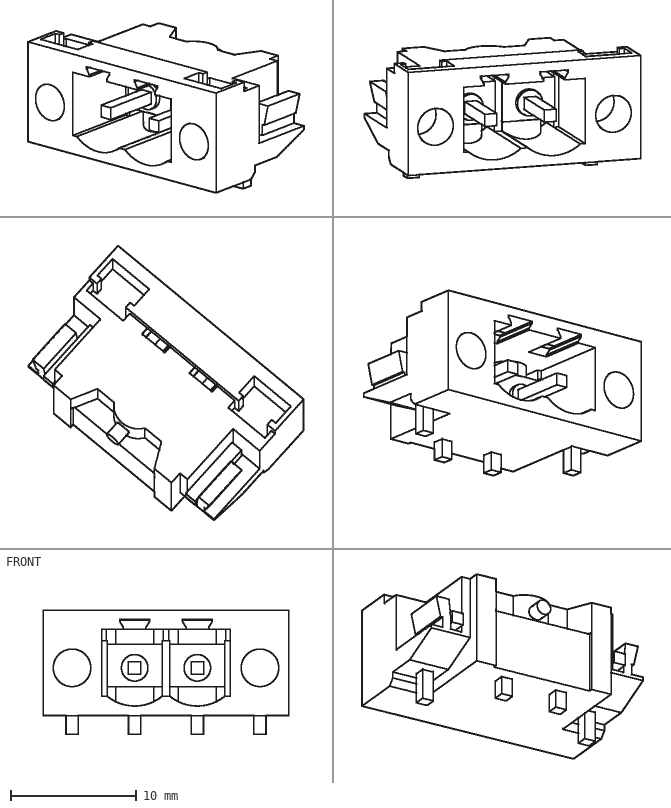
import cadquery as cq


WIDTH = 19.6
DEPTH = 12.0
FLANGE_HEIGHT = 8.43
BODY_HEIGHT = 7.65
FLANGE_DEPTH = 3.5
PITCH = 5.0
LEG_LENGTH = 1.5
PIN_AXIS_Z = 3.82

BODY_HALF_WIDTH = 7.0
REAR_HALF_WIDTH = 6.22
SHOULDER_Y = 10.95
WING_POCKET_Y = 5.38
WING_FLOOR_Z = 2.79

WING_TIP_Z = 2.48
WING_FLAT_Y = 7.53
WING_FLAT_Z = 1.04
FOOT_Y = 4.87
FOOT_STEP_Z = 0.52
FOOT_CHAMFER = 0.5

NOTCH_OUTER_HALF = 4.42
NOTCH_INNER_HALF = 3.37
NOTCH_Y = 9.93
NOTCH_SHELF_Z = 5.0
BULGE_HALF = 1.63
BULGE_Y = 10.8
NOTCH_BACK_Y = 11.68
PEG_RADIUS = 0.62
PEG_AXIS_Z = 6.2

CAVITY_HALF_WIDTH = 5.12
CAVITY_TOP_Z = 6.89
CAVITY_FLOOR_Z = 1.56
CAVITY_DEPTH = 8.5
TROUGH_HALF_WIDTH = 2.2
TROUGH_BOTTOM_Z = 0.77

POST_HALF_WIDTH = 0.3
POST_TOP_Z = 6.0
POST_FRONT_Y = 6.6
UPPER_RIB_HALF_WIDTH = 0.235
UPPER_RIB_FRONT_Y = 7.0
SIDE_POST_WIDTH = 0.42
SIDE_RIB_WIDTH = 0.34
COLUMN_RADIUS = 1.51
COLUMN_AXIS_Y = 8.0
BLOCK_BOTTOM_Z = 2.33
BLOCK_TOP_Z = 5.72
BLOCK_FRONT_Y = 6.4
COLLAR_RADIUS = 1.06
COLLAR_LENGTH = 0.4

GROOVE_TOP_Z = 7.68
GROOVE_TOP_HALF = 1.19
GROOVE_NECK_HALF = 0.9
GROOVE_LIP = 0.16
GROOVE_LENGTH = 4.13

SCREW_X = 7.5
SCREW_RADIUS = 1.5
NUT_WIDTH = 3.87
NUT_SIDE_WALL = 0.39
NUT_FRONT_Y = 1.12
NUT_BACK_Y = 4.29
NUT_FLOOR_Z = 5.66
NUT_RIB_WIDTH = 0.42
NUT_RIB_THICKNESS = 0.54

HOOK_FRONT_Y = 7.0
HOOK_TOP_Z = 5.39
HOOK_LIP_Z = 3.69
HOOK_TOP_OUTER_X = 9.34
HOOK_LIP_OUTER_X = 8.95
HOOK_WALL_OUTER_X = 8.75
HOOK_TOP_INNER_X = 8.17

PIN_SIZE = 1.0
PIN_TIP_Y = 1.0
PIN_BACK_Y = 10.45
ANCHOR_SIZE = 1.0
ANCHOR_FRONT_Y = 5.51
ANCHOR_BACK_Y = 11.17
HOOK_INNER_X = BODY_HALF_WIDTH + ANCHOR_SIZE

HALF_WIDTH = WIDTH / 2
SIDES = (-1, 1)
CELL_CENTERS = [side * PITCH / 2 for side in SIDES]
NUT_CENTER_X = HALF_WIDTH - NUT_SIDE_WALL - NUT_WIDTH / 2


def box(x0, x1, y0, y1, z0, z1):
    """Box between two opposite corners; the ends of X may come in either order."""
    center = ((x0 + x1) / 2, (y0 + y1) / 2, (z0 + z1) / 2)
    return cq.Workplane("XY").box(abs(x1 - x0), y1 - y0, z1 - z0).translate(center)


def plan_block():
    """Flange, front block and narrower rear; the rear is widened only above the wings."""
    flange = box(-HALF_WIDTH, HALF_WIDTH, 0, FLANGE_DEPTH, 0, FLANGE_HEIGHT)
    front = box(-HALF_WIDTH, HALF_WIDTH, 0, WING_POCKET_Y, 0, BODY_HEIGHT)
    upper_middle = box(-BODY_HALF_WIDTH, BODY_HALF_WIDTH, 0, SHOULDER_Y, WING_FLOOR_Z, BODY_HEIGHT)
    rear = box(-REAR_HALF_WIDTH, REAR_HALF_WIDTH, 0, DEPTH, 0, BODY_HEIGHT)
    return flange.union(front).union(upper_middle).union(rear)


def wing(side):
    """Side ledge with a sloping underside."""
    return (
        cq.Workplane("YZ", origin=(side * REAR_HALF_WIDTH, 0, 0))
        .moveTo(FOOT_Y, WING_FLOOR_Z)
        .lineTo(SHOULDER_Y, WING_FLOOR_Z)
        .lineTo(SHOULDER_Y, WING_TIP_Z)
        .lineTo(WING_FLAT_Y, WING_FLAT_Z)
        .lineTo(FOOT_Y, WING_FLAT_Z)
        .close()
        .extrude(side * (HALF_WIDTH - REAR_HALF_WIDTH))
    )


def foot_relief(side):
    """Space under the wing where the flange ends in a stepped, chamfered foot."""
    return (
        cq.Workplane("YZ", origin=(side * REAR_HALF_WIDTH, 0, 0))
        .moveTo(FOOT_Y - FOOT_CHAMFER, 0)
        .lineTo(FOOT_Y, FOOT_STEP_Z)
        .lineTo(FOOT_Y, WING_FLAT_Z)
        .lineTo(DEPTH, WING_FLAT_Z)
        .lineTo(DEPTH, 0)
        .close()
        .extrude(side * (HALF_WIDTH - REAR_HALF_WIDTH))
    )


def hook(side):
    return (
        cq.Workplane("XZ", origin=(0, SHOULDER_Y, 0))
        .moveTo(side * HOOK_INNER_X, WING_FLOOR_Z)
        .lineTo(side * HOOK_INNER_X, HOOK_LIP_Z)
        .lineTo(side * HOOK_TOP_INNER_X, HOOK_TOP_Z)
        .lineTo(side * HOOK_TOP_OUTER_X, HOOK_TOP_Z)
        .lineTo(side * HOOK_LIP_OUTER_X, HOOK_LIP_Z)
        .lineTo(side * HOOK_WALL_OUTER_X, HOOK_LIP_Z)
        .lineTo(side * HOOK_WALL_OUTER_X, WING_FLOOR_Z)
        .close()
        .extrude(SHOULDER_Y - HOOK_FRONT_Y)
    )


def rear_notch():
    """Recess in the upper rear edge, leaving a half-round bulge in the middle."""
    notch = (
        cq.Workplane("XY", origin=(0, 0, NOTCH_SHELF_Z))
        .moveTo(-NOTCH_OUTER_HALF, DEPTH)
        .lineTo(-NOTCH_INNER_HALF, NOTCH_Y)
        .lineTo(-BULGE_HALF, NOTCH_Y)
        .threePointArc((0, BULGE_Y), (BULGE_HALF, NOTCH_Y))
        .lineTo(NOTCH_INNER_HALF, NOTCH_Y)
        .lineTo(NOTCH_OUTER_HALF, DEPTH)
        .close()
        .extrude(BODY_HEIGHT - NOTCH_SHELF_Z)
    )
    below = box(-NOTCH_OUTER_HALF, NOTCH_OUTER_HALF, NOTCH_BACK_Y, DEPTH, 0, NOTCH_SHELF_Z)
    return notch.union(below)


def peg():
    return (
        cq.Workplane("XZ", origin=(0, DEPTH, PEG_AXIS_Z))
        .circle(PEG_RADIUS)
        .extrude(DEPTH - NOTCH_Y)
    )


def cavity():
    opening = box(
        -CAVITY_HALF_WIDTH, CAVITY_HALF_WIDTH, 0, CAVITY_DEPTH, CAVITY_FLOOR_Z, CAVITY_TOP_Z
    )
    for x in CELL_CENTERS:
        trough = (
            cq.Workplane("XZ")
            .moveTo(x - TROUGH_HALF_WIDTH, CAVITY_FLOOR_Z)
            .threePointArc((x, TROUGH_BOTTOM_Z), (x + TROUGH_HALF_WIDTH, CAVITY_FLOOR_Z))
            .close()
            .extrude(-CAVITY_DEPTH)
        )
        opening = opening.union(trough)
    return opening


def coding_groove(x):
    """Dovetail groove, wider at its top, running back from the mating face."""
    neck_top = CAVITY_TOP_Z + GROOVE_LIP
    flank_top = GROOVE_TOP_Z - GROOVE_LIP
    return (
        cq.Workplane("XZ")
        .moveTo(x - GROOVE_NECK_HALF, CAVITY_TOP_Z)
        .lineTo(x - GROOVE_NECK_HALF, neck_top)
        .lineTo(x - GROOVE_TOP_HALF, flank_top)
        .lineTo(x - GROOVE_TOP_HALF, GROOVE_TOP_Z)
        .lineTo(x + GROOVE_TOP_HALF, GROOVE_TOP_Z)
        .lineTo(x + GROOVE_TOP_HALF, flank_top)
        .lineTo(x + GROOVE_NECK_HALF, neck_top)
        .lineTo(x + GROOVE_NECK_HALF, CAVITY_TOP_Z)
        .close()
        .extrude(-GROOVE_LENGTH)
    )


def cell_support(x):
    """Round-fronted column, square block and round collar behind one contact."""
    column = (
        cq.Workplane("XY", origin=(x, COLUMN_AXIS_Y, 0))
        .circle(COLUMN_RADIUS)
        .extrude(CAVITY_TOP_Z)
    )
    column_root = box(
        x - COLUMN_RADIUS, x + COLUMN_RADIUS, COLUMN_AXIS_Y, CAVITY_DEPTH, 0, CAVITY_TOP_Z
    )
    half_width = PITCH / 2 - POST_HALF_WIDTH
    block = box(
        x - half_width, x + half_width, BLOCK_FRONT_Y, CAVITY_DEPTH, BLOCK_BOTTOM_Z, BLOCK_TOP_Z
    )
    collar = (
        cq.Workplane("XZ", origin=(x, BLOCK_FRONT_Y, PIN_AXIS_Z))
        .circle(COLLAR_RADIUS)
        .extrude(COLLAR_LENGTH)
    )
    return column.union(column_root).union(block).union(collar)


def stepped_post(x0, x1, rib_x0, rib_x1):
    """Wide lower post with a narrower, shallower rib up to the cavity roof."""
    post = box(x0, x1, POST_FRONT_Y, CAVITY_DEPTH, CAVITY_FLOOR_Z, POST_TOP_Z)
    rib = box(rib_x0, rib_x1, UPPER_RIB_FRONT_Y, CAVITY_DEPTH, POST_TOP_Z, CAVITY_TOP_Z)
    return post.union(rib)


def side_post(side):
    wall = side * CAVITY_HALF_WIDTH
    return stepped_post(wall, wall - side * SIDE_POST_WIDTH, wall, wall - side * SIDE_RIB_WIDTH)


def nut_slot(side):
    """Open-topped slot for a square nut, with a retaining rib on each end wall."""
    center = side * NUT_CENTER_X
    half = NUT_WIDTH / 2
    slot = box(center - half, center + half, NUT_FRONT_Y, NUT_BACK_Y, NUT_FLOOR_Z, FLANGE_HEIGHT)
    for end in SIDES:
        wall = center + end * half
        slot = slot.cut(
            box(
                wall,
                wall - end * NUT_RIB_WIDTH,
                FLANGE_DEPTH - NUT_RIB_THICKNESS,
                FLANGE_DEPTH,
                NUT_FLOOR_Z,
                FLANGE_HEIGHT,
            )
        )
    return slot


def screw_hole(side):
    return (
        cq.Workplane("XZ", origin=(side * SCREW_X, 0, PIN_AXIS_Z))
        .circle(SCREW_RADIUS)
        .extrude(-NUT_BACK_Y)
    )


def contact(x):
    """Square pin along Y, bent down into a solder leg at the rear."""
    half = PIN_SIZE / 2
    top = PIN_AXIS_Z + half
    bar = box(x - half, x + half, PIN_TIP_Y, PIN_BACK_Y, PIN_AXIS_Z - half, top)
    leg = box(x - half, x + half, PIN_BACK_Y - PIN_SIZE, PIN_BACK_Y, -LEG_LENGTH, top)
    return bar.union(leg)


def anchor(side):
    """Square bar lying between hook and body, bent down through the wing at its front."""
    inner = side * BODY_HALF_WIDTH
    outer = side * HOOK_INNER_X
    top = PIN_AXIS_Z + ANCHOR_SIZE / 2
    bar = box(inner, outer, ANCHOR_FRONT_Y, ANCHOR_BACK_Y, top - ANCHOR_SIZE, top)
    leg = box(inner, outer, ANCHOR_FRONT_Y, ANCHOR_FRONT_Y + ANCHOR_SIZE, -LEG_LENGTH, top)
    return bar.union(leg)


def build_housing(inserts):
    """Housing with a matching opening for each contact and anchor."""
    body = plan_block().cut(rear_notch()).union(peg()).cut(cavity())
    for x in CELL_CENTERS:
        body = body.union(cell_support(x)).cut(coding_groove(x))
    body = body.union(
        stepped_post(-POST_HALF_WIDTH, POST_HALF_WIDTH, -UPPER_RIB_HALF_WIDTH, UPPER_RIB_HALF_WIDTH)
    )
    for side in SIDES:
        body = body.union(side_post(side)).union(wing(side)).union(hook(side))
        body = body.cut(foot_relief(side)).cut(nut_slot(side)).cut(screw_hole(side))
    for insert in inserts:
        body = body.cut(insert)
    return body


contacts = [contact(x) for x in CELL_CENTERS]
anchors = [anchor(side) for side in SIDES]
housing = build_housing(contacts + anchors)

result = cq.Compound.makeCompound(
    [housing.val()] + [body.val() for body in contacts + anchors]
)